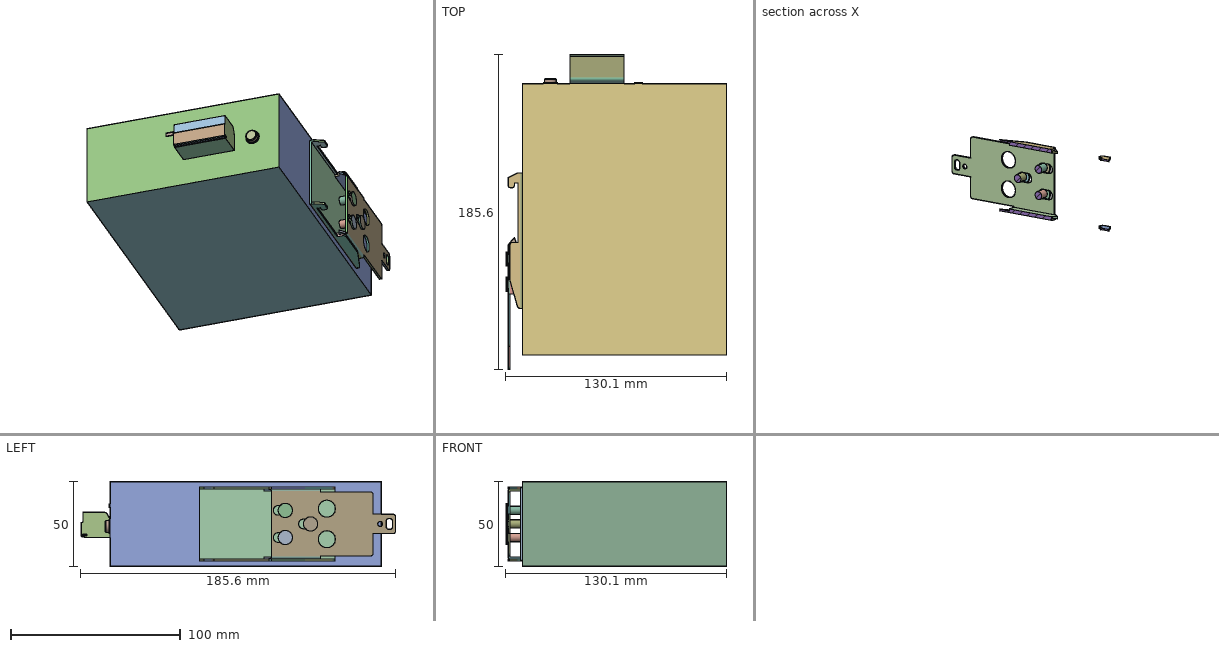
import cadquery as cq

HOUSING_X = 120.4
HOUSING_Y = 160.0
HOUSING_Z = 50.0

SHEET = 1.25
BASE_Y0 = 27.4
BASE_Y1 = 107.4
BASE_HALF_Z = 21.85
CLIP_OUTER_X = -8.5
BASE_RIM_X = -2.7
BEND_RADIUS = 1.2

HOOK_SHOULDER_X = -3.0
HOOK_FLANK_Y = 104.6
HOOK_INNER_X = -4.7
HOOK_TIP_Y = 98.6
HOOK_ROOT_Y = 101.4
HOOK_TIP_RADIUS = 1.5

GUIDE_Y1 = 66.4
GUIDE_OUTER_X = -7.6
GUIDE_SHOULDER_X = -6.8
GUIDE_SHOULDER_Y = 64.8
GUIDE_TAPER_Y = 44.8
GUIDE_FOOT_RADIUS = 2.0

LATCH_HALF_Z = BASE_HALF_Z - SHEET
LATCH_Y1 = 64.9
LATCH_FLANGE_Y0 = 35.9
LATCH_TONGUE_Y0 = 4.9
LATCH_TONGUE_HALF_Z = 18.9
LATCH_PEAK_X = -4.8
LATCH_PEAK_Y = 69.3
LATCH_PEAK_FOOT_X = -3.6
LATCH_CORNER_RADIUS = 1.6

TAB_Y0 = -8.4
TAB_HALF_Z = 5.75
TAB_SLOT_Y = -4.7
TAB_SLOT_WIDTH = 3.6
TAB_SLOT_LENGTH = 6.2
TAB_SLOT_RADIUS = 1.4
TAB_HOLE_Y = 0.8
TAB_HOLE_DIAMETER = 2.8

RIVETS = [(56.7, 8.0), (56.7, -8.0), (41.8, 0.0)]
RIVET_POST_DIAMETER = 5.0
RIVET_HEAD_DIAMETER = 8.4
RIVET_HEAD_HEIGHT = 1.0
OVERALL_X = 130.1
OUTERMOST_X = HOUSING_X - OVERALL_X
RIVET_SLOT_WIDTH = 5.7
RIVET_SLIDE = 4.2
WINDOWS = [(32.2, 9.0), (32.2, -9.0)]
WINDOW_DIAMETER = 10.0

TERMINAL_X0 = 28.0
TERMINAL_X1 = 59.9
TERMINAL_TOP_Z = 6.9
TERMINAL_BOTTOM_Z = -8.1
TERMINAL_DEPTH = 16.1
TERMINAL_BEVEL_Y = 2.2
TERMINAL_BEVEL_Z = 4.0
TERMINAL_BEVEL_RADIUS = 2.0
LIP_DEPTH = 17.15
LIP_ROOT_Z = 1.1
LIP_TOP_Z = 0.8
LIP_BOTTOM_Z = -7.6
LIP_CHAMFER = 0.5
LIP_NOTCH_DEPTH = 15.2
LIP_SLOT_DEPTH = 13.9
LIP_SLOT_TOP_Z = -6.2
LIP_SLOT_HEIGHT = 0.7

SCREW_X = 16.45
SCREW_Z = -1.55
WASHER_DIAMETER = 8.2
WASHER_HEIGHT = 0.6
SCREW_HEAD_DIAMETER = 7.0
SCREW_HEIGHT = 3.0
SCREW_CHAMFER = 0.5
INDICATOR_X = 68.4
INDICATOR_Z = 10.8
INDICATOR_LENGTH = 4.6
INDICATOR_WIDTH = 2.2
INDICATOR_HEIGHT = 0.6


def yz_plane(x):
    """Sketch plane at the given X: local axes are Y and Z, extruding toward +X."""
    return cq.Workplane("YZ", origin=(x, 0, 0))


def yz_plate(y0, y1, half_z, x0, x1):
    """Flat plate between two X positions, symmetric about Z = 0."""
    return yz_plane(x0).center((y0 + y1) / 2, 0).rect(y1 - y0, 2 * half_z).extrude(x1 - x0)


def flange_pair(outline, outer_z):
    """Two sheet-thick flanges with their outer faces at +outer_z and -outer_z."""
    upper = outline.extrude(SHEET).translate((0, 0, outer_z - SHEET))
    return upper.union(upper.mirror("XY"))


def edges_around(x0, x1, y):
    """Selector for edges near the given Y, from X = x0 to x1, at any height."""
    margin = 1.0
    return cq.selectors.BoxSelector(
        (x0 - margin, y - margin, -HOUSING_Z),
        (x1 + margin, y + margin, HOUSING_Z),
    )


def make_housing():
    return cq.Workplane("XY").box(HOUSING_X, HOUSING_Y, HOUSING_Z, centered=(False, False, True))


def make_base():
    outline = cq.Workplane("XY").polyline([
        (0, BASE_Y0),
        (0, BASE_Y1),
        (HOOK_SHOULDER_X, BASE_Y1),
        (CLIP_OUTER_X, HOOK_FLANK_Y),
        (CLIP_OUTER_X, HOOK_TIP_Y),
        (HOOK_INNER_X, HOOK_TIP_Y),
        (HOOK_INNER_X, HOOK_ROOT_Y),
        (BASE_RIM_X, HOOK_ROOT_Y),
        (BASE_RIM_X, GUIDE_Y1),
        (GUIDE_SHOULDER_X, GUIDE_Y1),
        (GUIDE_OUTER_X, GUIDE_SHOULDER_Y),
        (GUIDE_OUTER_X, GUIDE_TAPER_Y),
        (BASE_RIM_X, BASE_Y0),
    ]).close()
    flanges = flange_pair(outline, BASE_HALF_Z)
    tip_edges = edges_around(CLIP_OUTER_X, HOOK_INNER_X, HOOK_TIP_Y)
    flanges = flanges.edges("|Z").edges(tip_edges).fillet(HOOK_TIP_RADIUS)
    foot_edges = edges_around(BASE_RIM_X, BASE_RIM_X, BASE_Y0)
    flanges = flanges.edges("|Z").edges(foot_edges).fillet(GUIDE_FOOT_RADIUS)
    plate = yz_plate(BASE_Y0, BASE_Y1, BASE_HALF_Z, -SHEET, 0)
    base = plate.union(flanges)
    return base.edges("|Y and >X").fillet(BEND_RADIUS)


def make_latch():
    inner_x = CLIP_OUTER_X + SHEET
    outline = cq.Workplane("XY").polyline([
        (-SHEET, LATCH_FLANGE_Y0),
        (CLIP_OUTER_X, LATCH_FLANGE_Y0),
        (CLIP_OUTER_X, LATCH_Y1),
        (LATCH_PEAK_X, LATCH_PEAK_Y),
        (LATCH_PEAK_FOOT_X, GUIDE_Y1),
        (-SHEET, GUIDE_Y1),
    ]).close()
    flanges = flange_pair(outline, LATCH_HALF_Z)
    plate = yz_plate(LATCH_FLANGE_Y0, LATCH_Y1, LATCH_HALF_Z, CLIP_OUTER_X, inner_x)
    channel = plate.union(flanges).edges("|Y and <X").fillet(BEND_RADIUS)

    tongue = yz_plate(LATCH_TONGUE_Y0, LATCH_FLANGE_Y0, LATCH_TONGUE_HALF_Z, CLIP_OUTER_X, inner_x)
    tongue = tongue.edges("|X and <Y").fillet(LATCH_CORNER_RADIUS)
    tab = yz_plate(TAB_Y0, LATCH_TONGUE_Y0, TAB_HALF_Z, CLIP_OUTER_X, inner_x)
    tab = tab.edges("|X and <Y").fillet(LATCH_CORNER_RADIUS)
    latch = channel.union(tongue).union(tab)

    face = yz_plane(CLIP_OUTER_X)
    slot = face.center(TAB_SLOT_Y, 0).rect(TAB_SLOT_WIDTH, TAB_SLOT_LENGTH).extrude(SHEET)
    latch = latch.cut(slot.edges("|X").fillet(TAB_SLOT_RADIUS))
    latch = latch.cut(face.center(TAB_HOLE_Y, 0).circle(TAB_HOLE_DIAMETER / 2).extrude(SHEET))
    latch = latch.cut(face.pushPoints(WINDOWS).circle(WINDOW_DIAMETER / 2).extrude(SHEET))
    slot_centres = [(y + RIVET_SLIDE / 2, z) for y, z in RIVETS]
    slot_length = RIVET_SLIDE + RIVET_SLOT_WIDTH
    rivet_slots = face.pushPoints(slot_centres).slot2D(slot_length, RIVET_SLOT_WIDTH).extrude(SHEET)
    return latch.cut(rivet_slots)


def make_rivets():
    post_x = OUTERMOST_X + RIVET_HEAD_HEIGHT
    heads = yz_plane(OUTERMOST_X).pushPoints(RIVETS).circle(RIVET_HEAD_DIAMETER / 2)
    heads = heads.extrude(RIVET_HEAD_HEIGHT)
    posts = yz_plane(post_x).pushPoints(RIVETS).circle(RIVET_POST_DIAMETER / 2).extrude(-post_x)
    return heads.union(posts)


def make_terminal_block():
    length = TERMINAL_X1 - TERMINAL_X0
    y0 = HOUSING_Y
    body = yz_plane(TERMINAL_X0).polyline([
        (y0, TERMINAL_BOTTOM_Z),
        (y0 + LIP_NOTCH_DEPTH, TERMINAL_BOTTOM_Z),
        (y0 + LIP_NOTCH_DEPTH, LIP_BOTTOM_Z),
        (y0 + LIP_DEPTH - LIP_CHAMFER, LIP_BOTTOM_Z),
        (y0 + LIP_DEPTH, LIP_BOTTOM_Z + LIP_CHAMFER),
        (y0 + LIP_DEPTH, LIP_TOP_Z),
        (y0 + TERMINAL_DEPTH, LIP_ROOT_Z),
        (y0 + TERMINAL_DEPTH, TERMINAL_TOP_Z),
        (y0 + TERMINAL_BEVEL_Y, TERMINAL_TOP_Z),
        (y0, TERMINAL_TOP_Z - TERMINAL_BEVEL_Z),
    ]).close().extrude(length)
    body = body.edges("|X and >Z").edges("<Y").fillet(TERMINAL_BEVEL_RADIUS)
    slot = cq.Workplane("XY").box(
        length, TERMINAL_DEPTH - LIP_SLOT_DEPTH, LIP_SLOT_HEIGHT, centered=False
    )
    slot_z = LIP_SLOT_TOP_Z - LIP_SLOT_HEIGHT
    return body.cut(slot.translate((TERMINAL_X0, y0 + LIP_SLOT_DEPTH, slot_z)))


def on_end_face(x, z):
    """Sketch plane on the +Y face of the housing, extruding toward +Y."""
    return cq.Workplane("XZ", origin=(x, HOUSING_Y, z)).transformed(rotate=(180, 0, 0))


def make_ground_screw():
    plane = on_end_face(SCREW_X, SCREW_Z)
    washer = plane.circle(WASHER_DIAMETER / 2).extrude(WASHER_HEIGHT)
    head = plane.circle(SCREW_HEAD_DIAMETER / 2).extrude(SCREW_HEIGHT)
    return washer.union(head.faces(">Y").chamfer(SCREW_CHAMFER))


def make_indicator():
    plane = on_end_face(INDICATOR_X, INDICATOR_Z)
    return plane.rect(INDICATOR_LENGTH, INDICATOR_WIDTH).extrude(INDICATOR_HEIGHT)


result = (
    make_housing()
    .union(make_base())
    .union(make_latch())
    .union(make_rivets())
    .union(make_terminal_block())
    .union(make_ground_screw())
    .union(make_indicator())
)